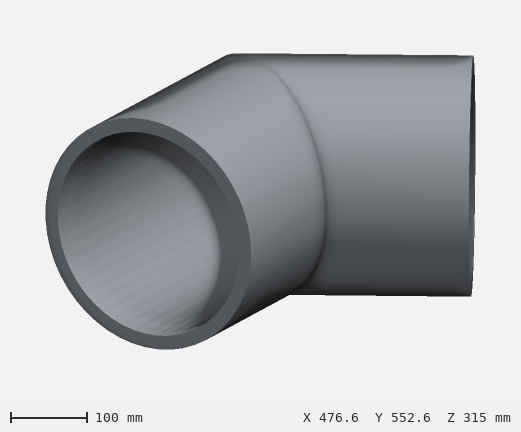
import cadquery as cq
import math

outer_diameter = 315.0
wall = 19.0
leg_length = 277.5
bend_angle = 60.0

outer_radius = outer_diameter / 2
inner_radius = outer_radius - wall
miter_angle = math.radians(bend_angle / 2)
miter_rise = outer_radius * math.tan(miter_angle)


def mitred_rod(radius):
    """Round rod along Y, cut off on the sloping miter plane through the origin."""
    rod = (
        cq.Workplane("XZ", origin=(0, miter_rise, 0))
        .circle(radius)
        .extrude(miter_rise + leg_length)
    )
    below_miter = (
        cq.Workplane("XY")
        .polyline([
            (-outer_radius, -leg_length),
            (outer_radius, -leg_length),
            (outer_radius, -miter_rise),
            (-outer_radius, miter_rise),
        ])
        .close()
        .extrude(outer_radius, both=True)
    )
    return rod.intersect(below_miter)


first_leg = mitred_rod(outer_radius).cut(mitred_rod(inner_radius))

miter_axis_end = (math.cos(miter_angle), -math.sin(miter_angle), 0)
second_leg = first_leg.rotate((0, 0, 0), miter_axis_end, 180)

result = first_leg.union(second_leg)